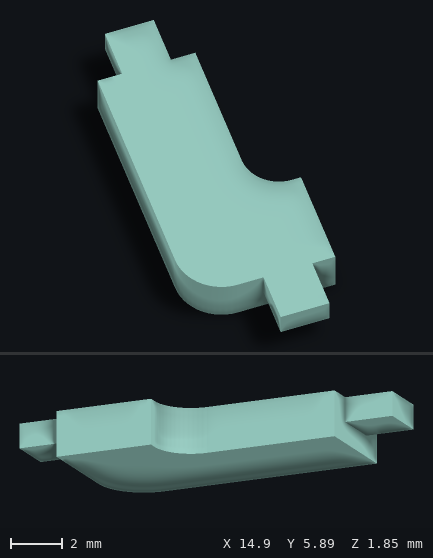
import cadquery as cq

total_length = 14.9
total_width = 5.89
height = 1.85

terminal_size = 2.0
terminal_thickness = 1.0
right_terminal_y = 3.95

leg_width = 4.0
outer_radius = 1.89
inner_radius = 1.52
housing_length = total_length - 2 * terminal_size


def make_housing():
    """L-shaped block with its front-left corner at the origin."""
    outline = (
        cq.Workplane("XY")
        .lineTo(housing_length, 0)
        .lineTo(housing_length, total_width)
        .lineTo(housing_length - leg_width, total_width)
        .lineTo(housing_length - leg_width, leg_width)
        .lineTo(0, leg_width)
        .close()
    )
    block = outline.extrude(height)
    outer_corner = cq.selectors.NearestToPointSelector((housing_length, 0, height / 2))
    inner_corner = cq.selectors.NearestToPointSelector(
        (housing_length - leg_width, leg_width, height / 2)
    )
    block = block.edges("|Z").edges(outer_corner).fillet(outer_radius)
    return block.edges("|Z").edges(inner_corner).fillet(inner_radius)


def make_terminal(start_x, center_y):
    """Terminal plate reaching from start_x toward +X, centred on center_y."""
    return cq.Workplane("XY").box(
        terminal_size, terminal_size, terminal_thickness, centered=(False, True, False)
    ).translate((start_x, center_y, height - terminal_thickness))


housing = make_housing()

terminal_places = [
    (-terminal_size, leg_width / 2),
    (housing_length, right_terminal_y),
]
terminals = [make_terminal(start_x, center_y) for start_x, center_y in terminal_places]

result = cq.Compound.makeCompound([housing.val(), *[terminal.val() for terminal in terminals]])